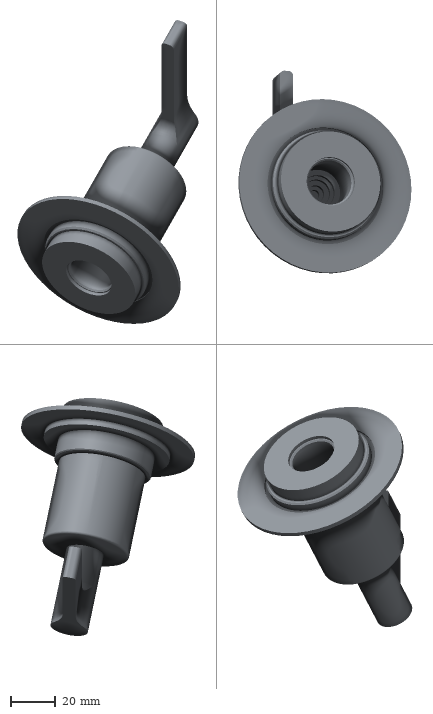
import cadquery as cq
import math

OVERALL_HEIGHT = 108.0
OVERALL_DEPTH = 103.6

ROSETTE_RADIUS = 80.0 / 2
GASKET_FRONT = 10.6
GASKET_THICKNESS = 0.8
GASKET_HOLE_RADIUS = 26.9
PLATE_THICKNESS = 1.2
PLATE_FRONT = GASKET_FRONT + GASKET_THICKNESS
PLATE_BACK = PLATE_FRONT + PLATE_THICKNESS

NUT_FRONT = 7.0
NUT_RADIUS = 25.1
NUT_CHAMFER = 0.8
NUT_HUB_RADIUS = 26.5
FLANGE_RADIUS = 29.0
FLANGE_THICKNESS = 2.8
FLANGE_BACK = PLATE_BACK + FLANGE_THICKNESS

SLEEVE_HEAD_RADIUS = 23.1
SLEEVE_TUBE_RADIUS = 22.4
SLEEVE_LENGTH = 25.0
SLEEVE_EDGE_CHAMFER = 0.4
BORE_RADIUS = 10.2
BORE_MOUTH_RADIUS = 11.2
BORE_MOUTH_DEPTH = 1.6
BORE_TAPER_RADIUS = 10.8
BORE_TAPER_LENGTH = 0.8

KNOB_GAP = 0.8
KNOB_FRONT = SLEEVE_LENGTH + KNOB_GAP
KNOB_RADIUS = 20.0
KNOB_LENGTH = 39.2
KNOB_BACK_RISE = 1.1
KNOB_EDGE_FILLET = 1.0
KNOB_SHOULDER = KNOB_FRONT + KNOB_LENGTH
KNOB_BACK = KNOB_SHOULDER + KNOB_BACK_RISE
SOCKET_RADII = (7.8, 6.2, 3.9, 2.2)
SOCKET_STEP_DEPTH = 2.2

MARKER_WIDTH = 1.3
MARKER_FRONT = 28.6
MARKER_LENGTH = 7.2
MARKER_DEPTH = 0.5

STEM_RADIUS = 8.6
BLADE_THICKNESS = 6.0
BLADE_DEPTH = 15.0
BLADE_TIP_FILLET = 2.0
BLADE_SIDE_FILLET = 20.0
BLADE_FRONT_FILLET = 5.2
BLADE_TOP = OVERALL_HEIGHT - ROSETTE_RADIUS
BLADE_FRONT = OVERALL_DEPTH - BLADE_DEPTH


def cylinder(radius, front, back):
    """Cylinder about the Y axis between two Y positions."""
    return cq.Workplane("XZ", origin=(0, front, 0)).circle(radius).extrude(front - back)


def ring(outer_radius, inner_radius, front, back):
    return cylinder(outer_radius, front, back).cut(cylinder(inner_radius, front, back))


def revolve_profile(profile):
    """Turn a closed (radius, Y) profile about the Y axis."""
    return profile.close().revolve(360, (0, 0, 0), (0, 1, 0))


def make_gasket():
    return ring(ROSETTE_RADIUS, GASKET_HOLE_RADIUS, GASKET_FRONT, PLATE_FRONT)


def make_plate():
    return ring(ROSETTE_RADIUS, NUT_HUB_RADIUS, PLATE_FRONT, PLATE_BACK)


def make_nut():
    return revolve_profile(
        cq.Workplane("XY")
        .moveTo(SLEEVE_TUBE_RADIUS, NUT_FRONT)
        .lineTo(NUT_RADIUS - NUT_CHAMFER, NUT_FRONT)
        .lineTo(NUT_RADIUS, NUT_FRONT + NUT_CHAMFER)
        .lineTo(NUT_RADIUS, PLATE_FRONT)
        .lineTo(NUT_HUB_RADIUS, PLATE_FRONT)
        .lineTo(NUT_HUB_RADIUS, PLATE_BACK)
        .lineTo(FLANGE_RADIUS, PLATE_BACK)
        .lineTo(FLANGE_RADIUS, FLANGE_BACK)
        .lineTo(SLEEVE_TUBE_RADIUS, FLANGE_BACK)
    )


def make_sleeve():
    taper_end = BORE_MOUTH_DEPTH + BORE_TAPER_LENGTH
    return revolve_profile(
        cq.Workplane("XY")
        .moveTo(BORE_MOUTH_RADIUS, 0)
        .lineTo(SLEEVE_HEAD_RADIUS, 0)
        .lineTo(SLEEVE_HEAD_RADIUS, NUT_FRONT)
        .lineTo(SLEEVE_TUBE_RADIUS, NUT_FRONT)
        .lineTo(SLEEVE_TUBE_RADIUS, SLEEVE_LENGTH - SLEEVE_EDGE_CHAMFER)
        .lineTo(SLEEVE_TUBE_RADIUS - SLEEVE_EDGE_CHAMFER, SLEEVE_LENGTH)
        .lineTo(BORE_RADIUS, SLEEVE_LENGTH)
        .lineTo(BORE_RADIUS, taper_end)
        .lineTo(BORE_TAPER_RADIUS, BORE_MOUTH_DEPTH)
        .lineTo(BORE_MOUTH_RADIUS, BORE_MOUTH_DEPTH)
    )


def make_knob_blank():
    """Cylinder with a shallow conical back and a rounded back edge."""
    blank = revolve_profile(
        cq.Workplane("XY")
        .moveTo(0, KNOB_FRONT)
        .lineTo(KNOB_RADIUS, KNOB_FRONT)
        .lineTo(KNOB_RADIUS, KNOB_SHOULDER)
        .lineTo(STEM_RADIUS, KNOB_BACK)
        .lineTo(0, KNOB_BACK)
    )
    shoulder_box = cq.selectors.BoxSelector(
        (-KNOB_RADIUS, KNOB_SHOULDER - 0.1, -KNOB_RADIUS),
        (KNOB_RADIUS, KNOB_SHOULDER + 0.1, KNOB_RADIUS),
    )
    return blank.edges(shoulder_box).fillet(KNOB_EDGE_FILLET)


def make_marker(blank):
    """Small strip flush with the knob's surface."""
    strip = cq.Workplane("XY").box(MARKER_WIDTH, MARKER_LENGTH, 2 * MARKER_DEPTH, centered=(True, False, True))
    return strip.translate((0, MARKER_FRONT, KNOB_RADIUS)).intersect(blank)


def make_knob(blank, marker):
    knob = blank
    for step, radius in enumerate(SOCKET_RADII, start=1):
        knob = knob.cut(cylinder(radius, KNOB_FRONT, KNOB_FRONT + step * SOCKET_STEP_DEPTH))
    return knob.cut(marker)


def make_blade():
    """Blade whose sides sweep out tangentially onto the stem, trimmed by the front fillet."""
    half = BLADE_THICKNESS / 2
    arc_x = half + BLADE_SIDE_FILLET
    reach = STEM_RADIUS + BLADE_SIDE_FILLET
    arc_z = math.sqrt(reach**2 - arc_x**2)
    foot_x = arc_x * STEM_RADIUS / reach
    foot_z = arc_z * STEM_RADIUS / reach
    mid_angle = (math.pi + math.pi + math.atan2(arc_z, arc_x)) / 2
    mid_x = arc_x + BLADE_SIDE_FILLET * math.cos(mid_angle)
    mid_z = arc_z + BLADE_SIDE_FILLET * math.sin(mid_angle)
    fillet_front = BLADE_FRONT - BLADE_FRONT_FILLET
    outline = (
        cq.Workplane("XZ", origin=(0, fillet_front, 0))
        .moveTo(-half, BLADE_TOP)
        .lineTo(half, BLADE_TOP)
        .lineTo(half, arc_z)
        .threePointArc((mid_x, mid_z), (foot_x, foot_z))
        .lineTo(0, 0)
        .lineTo(-foot_x, foot_z)
        .threePointArc((-mid_x, mid_z), (-half, arc_z))
        .close()
        .extrude(fillet_front - OVERALL_DEPTH)
    )
    blade = outline.edges(">Z and |Y").fillet(BLADE_TIP_FILLET)

    fillet_top = STEM_RADIUS + BLADE_FRONT_FILLET
    sagitta = BLADE_FRONT_FILLET * (1 - math.sqrt(0.5))
    envelope = revolve_profile(
        cq.Workplane("XY")
        .moveTo(0, fillet_front)
        .lineTo(STEM_RADIUS, fillet_front)
        .threePointArc((STEM_RADIUS + sagitta, BLADE_FRONT - sagitta), (fillet_top, BLADE_FRONT))
        .lineTo(OVERALL_HEIGHT, BLADE_FRONT)
        .lineTo(OVERALL_HEIGHT, OVERALL_DEPTH)
        .lineTo(0, OVERALL_DEPTH)
    )
    return blade.intersect(envelope)


def make_lever():
    return cylinder(STEM_RADIUS, KNOB_BACK, OVERALL_DEPTH).union(make_blade())


gasket = make_gasket()
plate = make_plate()
nut = make_nut()
sleeve = make_sleeve()
knob_blank = make_knob_blank()
marker = make_marker(knob_blank)
knob = make_knob(knob_blank, marker)
lever = make_lever()

result = cq.Compound.makeCompound(
    [gasket.val(), plate.val(), nut.val(), sleeve.val(), knob.val(), marker.val(), lever.val()]
)